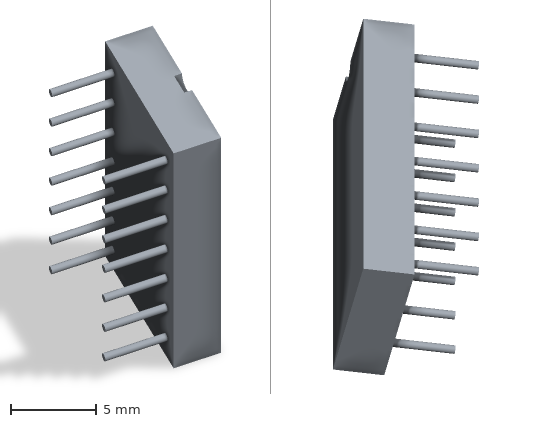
import cadquery as cq

body_width = 9.8
body_height = 18.5
overall_depth = 7.05
pin_length = 4.0
body_depth = overall_depth - pin_length

pin_diameter = 0.5
pins_per_column = 7
column_spacing = 7.62
pin_pitch = column_spacing / 3

notch_diameter = 1.45
notch_depth = 0.5


def make_body():
    """Block from Y = 0 to Y = body_depth."""
    return cq.Workplane("XY").box(body_width, body_depth, body_height, centered=(True, False, True))


def make_pins():
    """Round pins running from the Y = 0 face toward -Y."""
    return (
        cq.Workplane("XZ")
        .rarray(column_spacing, pin_pitch, 2, pins_per_column)
        .circle(pin_diameter / 2)
        .extrude(pin_length)
    )


def make_notch():
    """Cylinder along Y on the top edge; its lower half cuts a blind notch in the +Y face."""
    return (
        cq.Workplane("XZ", origin=(0, body_depth, 0))
        .center(0, body_height / 2)
        .circle(notch_diameter / 2)
        .extrude(notch_depth)
    )


result = make_body().cut(make_notch()).union(make_pins())